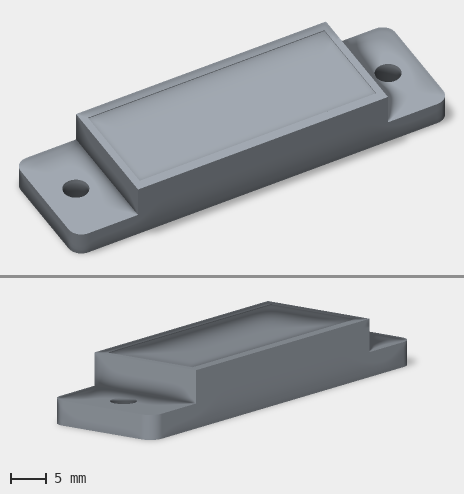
import cadquery as cq

length = 60.0
width = 18.0
height = 8.4

base_height = 3.6
corner_radius = 2.05
hole_diameter = 3.8

housing_length = 40.0

recess_width = 15.0
recess_length = 37.85
recess_depth = 0.1

flange_length = (length - housing_length) / 2
hole_spacing = length - flange_length


def make_base():
    """Flat plate with rounded corners and a mounting hole in each flange."""
    plate = cq.Workplane("XY").box(width, length, base_height, centered=(True, True, False))
    plate = plate.edges("|Z").fillet(corner_radius)
    return (
        plate.faces(">Z")
        .workplane()
        .rarray(0.6, hole_spacing, 1, 2)
        .hole(hole_diameter)
    )


def make_housing():
    """Full-width block standing on the middle of the plate."""
    return cq.Workplane("XY").box(width, housing_length, height, centered=(True, True, False))


def make_recess():
    """Rectangular volume removed from the top face of the housing."""
    return (
        cq.Workplane("XY")
        .workplane(offset=height - recess_depth)
        .rect(recess_width, recess_length)
        .extrude(recess_depth)
    )


result = make_base().union(make_housing()).cut(make_recess())